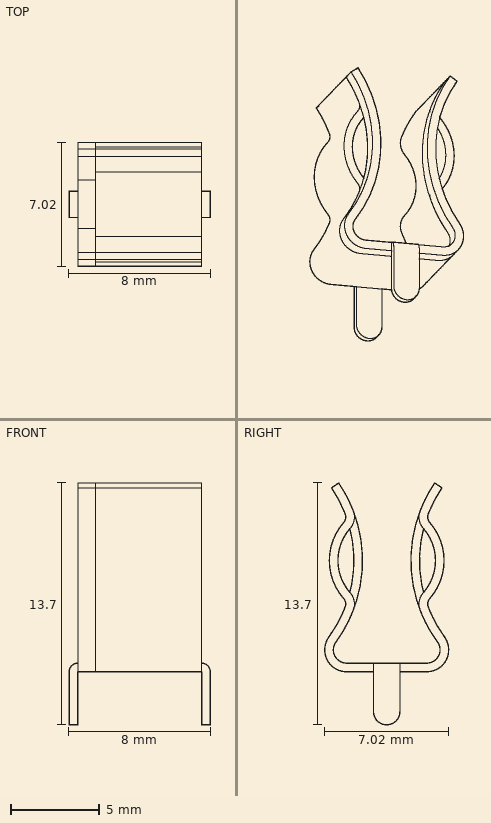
import cadquery as cq
import math

overall_length = 8.0
clip_length = 7.0
clip_width = 7.02
clip_height = 10.69
end_strip_length = 1.0

sheet = (overall_length - clip_length) / 2
bend_outer_radius = 1.25
throat_gap = 2.72
grip_height = 6.3
fuse_radius = 2.75

pin_width = 1.5
pin_drop = 3.0

half_sheet = sheet / 2
bend_radius = bend_outer_radius - half_sheet
bend_center = (clip_width / 2 - bend_outer_radius, bend_outer_radius)

rise = grip_height - bend_center[1]
reach_excess = bend_center[0] + bend_radius - half_sheet - throat_gap / 2
center_distance = (rise**2 + reach_excess**2) / (2 * reach_excess)
arm_radius = center_distance - bend_radius
arm_center = (throat_gap / 2 + half_sheet + arm_radius, grip_height)
bend_end = math.asin(rise / center_distance)

arm_start = math.pi + bend_end
arm_tip = math.pi - math.asin((clip_height - grip_height) / (arm_radius + half_sheet))

bulge_center = (0, grip_height)
bulge_radius = fuse_radius + half_sheet
blend_radius = sheet + half_sheet
bulge_to_blend = bulge_radius + blend_radius
arm_to_blend = arm_radius - blend_radius
blend_y = (arm_center[0]**2 + bulge_to_blend**2 - arm_to_blend**2) / (2 * arm_center[0])
blend_rise = math.sqrt(bulge_to_blend**2 - blend_y**2)
bulge_angle = math.atan2(blend_rise, blend_y)
blend_angle = math.atan2(blend_rise, arm_center[0] - blend_y)
lower_blend_center = (blend_y, grip_height - blend_rise)
upper_blend_center = (blend_y, grip_height + blend_rise)

bend_arc = (bend_center, bend_radius, -math.pi / 2, bend_end)
plain_arcs = [bend_arc, (arm_center, arm_radius, arm_start, arm_tip)]
bulged_arcs = [
    bend_arc,
    (arm_center, arm_radius, arm_start, math.pi + blend_angle),
    (lower_blend_center, blend_radius, math.pi + blend_angle, math.pi - bulge_angle),
    (bulge_center, bulge_radius, -bulge_angle, bulge_angle),
    (upper_blend_center, blend_radius, math.pi + bulge_angle, math.pi - blend_angle),
    (arm_center, arm_radius, math.pi - blend_angle, arm_tip),
]


def sheet_point(arc_center, radius, angle):
    return (arc_center[0] + radius * math.cos(angle), arc_center[1] + radius * math.sin(angle))


def face_radius(radius, start, end, face):
    """Radius of the sheet's outside (face = 1) or inside (face = -1) along one arc."""
    turn = 1 if end > start else -1
    return radius + face * turn * half_sheet


def bent_sheet(arcs, start_x, length):
    """Sheet that follows the arcs up from a flat base, mirrored about the XZ plane."""
    outline = cq.Workplane("YZ", origin=(start_x, 0, 0)).moveTo(0, 0).lineTo(bend_center[0], 0)
    for arc_center, radius, start, end in arcs:
        outside = face_radius(radius, start, end, 1)
        middle = sheet_point(arc_center, outside, (start + end) / 2)
        outline = outline.threePointArc(middle, sheet_point(arc_center, outside, end))

    tip_center, tip_radius, tip_start, tip_end = arcs[-1]
    tip_inside = face_radius(tip_radius, tip_start, tip_end, -1)
    outline = outline.lineTo(*sheet_point(tip_center, tip_inside, tip_end))
    for arc_center, radius, start, end in reversed(arcs):
        inside = face_radius(radius, start, end, -1)
        middle = sheet_point(arc_center, inside, (start + end) / 2)
        outline = outline.threePointArc(middle, sheet_point(arc_center, inside, start))

    half = outline.lineTo(0, sheet).close().extrude(length)
    return half.union(half.mirror("XZ")).clean()


def solder_pin(side):
    """Pin against the base's end face: rounded shoulder on top, half-round bottom."""
    inner_x = side * clip_length / 2
    outer_x = inner_x + side * sheet
    diagonal = sheet * math.sqrt(0.5)
    side_outline = (
        cq.Workplane("XZ")
        .moveTo(inner_x, sheet)
        .threePointArc((inner_x + side * diagonal, diagonal), (outer_x, 0))
        .lineTo(outer_x, -pin_drop)
        .lineTo(inner_x, -pin_drop)
        .close()
    )
    end_radius = pin_width / 2
    end_outline = (
        cq.Workplane("YZ")
        .moveTo(end_radius, sheet)
        .lineTo(end_radius, end_radius - pin_drop)
        .threePointArc((0, -pin_drop), (-end_radius, end_radius - pin_drop))
        .lineTo(-end_radius, sheet)
        .close()
    )
    strip = side_outline.extrude(end_radius, both=True)
    return strip.intersect(end_outline.extrude(overall_length / 2, both=True))


clip_start = -clip_length / 2
end_strip = bent_sheet(plain_arcs, clip_start, end_strip_length)
fuse_clip = bent_sheet(bulged_arcs, clip_start + end_strip_length, clip_length - end_strip_length)
pins = [solder_pin(side) for side in (-1, 1)]

result = cq.Compound.makeCompound([end_strip.val(), fuse_clip.val(), *[pin.val() for pin in pins]])